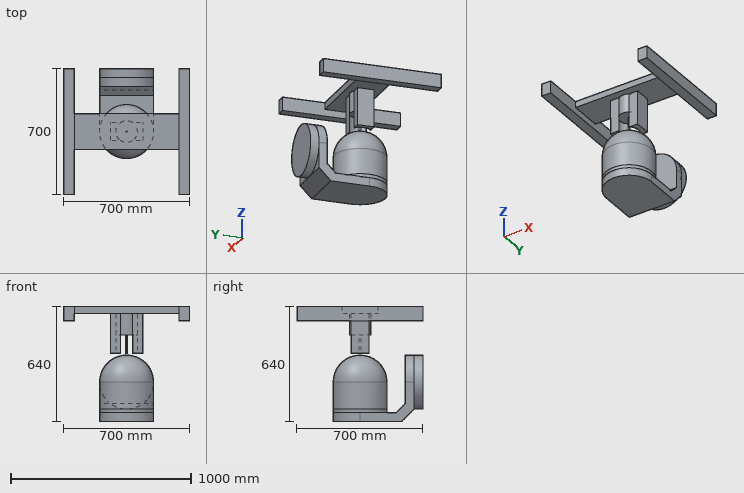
import cadquery as cq


frame_width = 700
rail_length = 700
rail_width = 60
rail_height = 80
plate_length = frame_width - 2 * rail_width
plate_depth = 200
plate_thickness = 40

motor_diameter = 120
motor_length = 120
shaft_diameter = 10
jaw_outer_x = 90
jaw_depth = 100
jaw_height = 220
shaft_length = jaw_height - motor_length
plate_bottom_z = -plate_thickness
motor_bottom_z = plate_bottom_z - motor_length
jaw_bottom_z = plate_bottom_z - jaw_height

dome_gap = 10
housing_diameter = 300
housing_radius = housing_diameter / 2
housing_wall_height = 150
base_disc_thickness = 20
dome_top_z = jaw_bottom_z - dome_gap
dome_center_z = dome_top_z - housing_radius
housing_bottom_z = dome_center_z - housing_wall_height
base_disc_bottom_z = housing_bottom_z - base_disc_thickness

yoke_thickness = 50
yoke_back_y = 300
yoke_outer_bevel = 70
yoke_inner_bevel = 50
yoke_bottom_z = base_disc_bottom_z - yoke_thickness
yoke_arm_front_y = yoke_back_y - yoke_thickness

flange_thickness = 50


def disc(diameter, bottom_z, height):
    """Vertical cylinder on the Z axis."""
    return cq.Workplane("XY", origin=(0, 0, bottom_z)).circle(diameter / 2).extrude(height)


def disc_along_y(front_y, depth):
    """Cylinder of the housing diameter, lying along Y at the height of the dome centre."""
    plane = cq.Workplane("XZ", origin=(0, front_y, dome_center_z))
    return plane.circle(housing_radius).extrude(-depth)


def make_rail(side):
    center_x = side * (frame_width - rail_width) / 2
    rail = cq.Workplane("XY").box(rail_width, rail_length, rail_height)
    return rail.translate((center_x, 0, -rail_height / 2))


def make_plate():
    plate = cq.Workplane("XY").box(plate_length, plate_depth, plate_thickness)
    return plate.translate((0, 0, -plate_thickness / 2))


def make_motor():
    body = disc(motor_diameter, motor_bottom_z, motor_length)
    shaft = disc(shaft_diameter, motor_bottom_z - shaft_length, shaft_length)
    return body.union(shaft)


def make_jaw(side):
    """Block whose inner side is hollowed to the motor's curve along its full height."""
    block = cq.Workplane("XY").box(jaw_outer_x, jaw_depth, jaw_height)
    block = block.translate((side * jaw_outer_x / 2, 0, jaw_bottom_z + jaw_height / 2))
    return block.cut(disc(motor_diameter, jaw_bottom_z, jaw_height))


def make_housing():
    """Cylinder closed by a hemisphere, revolved as one profile around Z."""
    arc_middle = housing_radius * 0.5 ** 0.5
    profile = (
        cq.Workplane("XZ")
        .moveTo(0, housing_bottom_z)
        .lineTo(housing_radius, housing_bottom_z)
        .lineTo(housing_radius, dome_center_z)
        .threePointArc((arc_middle, dome_center_z + arc_middle), (0, dome_top_z))
        .close()
    )
    return profile.revolve(360, (0, 0, 0), (0, 1, 0))


def make_yoke():
    """Bevelled L-section, with each leg ending in a half round."""
    section = [
        (0, yoke_bottom_z),
        (yoke_back_y - yoke_outer_bevel, yoke_bottom_z),
        (yoke_back_y, yoke_bottom_z + yoke_outer_bevel),
        (yoke_back_y, dome_center_z),
        (yoke_arm_front_y, dome_center_z),
        (yoke_arm_front_y, base_disc_bottom_z + yoke_inner_bevel),
        (yoke_arm_front_y - yoke_inner_bevel, base_disc_bottom_z),
        (0, base_disc_bottom_z),
    ]
    legs = cq.Workplane("YZ").polyline(section).close().extrude(housing_radius, both=True)
    floor_end = disc(housing_diameter, yoke_bottom_z, yoke_thickness)
    arm_end = disc_along_y(yoke_arm_front_y, yoke_thickness)
    upper_half = cq.Workplane("XY").box(
        housing_diameter, 2 * yoke_back_y, housing_radius, centered=(True, True, False)
    )
    arm_end = arm_end.intersect(upper_half.translate((0, 0, dome_center_z)))
    return legs.union(floor_end).union(arm_end)


sides = (-1, 1)
rails = [make_rail(side) for side in sides]
plate = make_plate()
motor = make_motor()
jaws = [make_jaw(side) for side in sides]
housing = make_housing()
base_disc = disc(housing_diameter, base_disc_bottom_z, base_disc_thickness)
yoke = make_yoke()
flange = disc_along_y(yoke_back_y, flange_thickness)

bodies = [*rails, plate, motor, *jaws, housing, base_disc, yoke, flange]
result = cq.Compound.makeCompound([body.solids().val() for body in bodies])